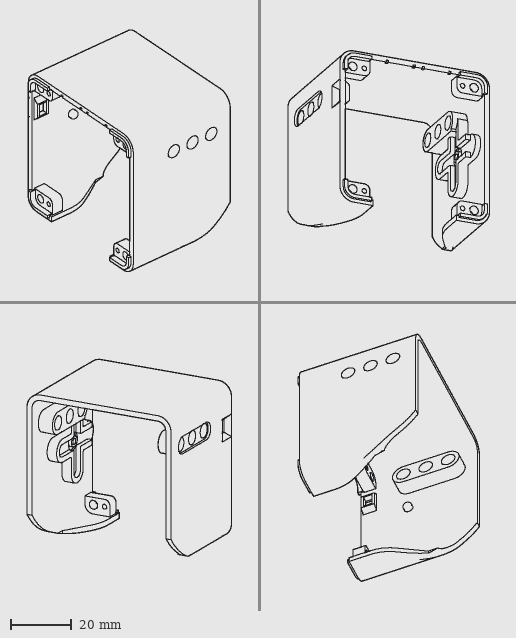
import cadquery as cq
import math


side = 54
overall_depth = 42.5
lip_height = 1.0
depth = overall_depth - lip_height
wall = 1.95
corner_radius = 5.0
flange_length = 12.0
half = side / 2
inner_half = half - wall

flange_slant = 30
flange_corner_y = 12.0
flange_blend_radius = 16.0
flange_slant_half_gap = 22.55

back_arc_radius = 29.9
back_arc_rise = 11.75

block_width = 11.3
block_height = 7.7
block_depth = 4.25
block_recess = 1.0
block_edge_radius = 2.0
hole_inset = 5.15
large_hole = 3.0
small_hole = 1.6
small_hole_inset = 9.3
lip_inset = 1.2
lip_thickness = 1.2
lip_width = 11.0
lip_drop = 7.3

row_holes = 3
row_pitch = 8.0
row_hole = 4.8
row_center_y = 25.3
row_center_z = 15.25
row_boss_width = 7.8
row_boss_height = 5.3
row_recess_width = 6.05
row_recess_depth = 0.95

window_length = 6.35
window_height = 7.9
window_inset = 1.7
window_center_y = window_length / 2
window_center_z = 12.15
window_boss_front = 0.8
window_boss_height = 1.9
window_boss_top = 5.55
window_boss_rise = 1.5

pivot_y = 17.0
pivot_z = 3.5
pin_diameter = 3.0
pin_length = 2.05
pin_round = 0.95

guide_height = 3.55
guide_width = 8.1
guide_slot = 4.4
guide_reach = 10.1
guide_corner_radius = 0.5
floor_height = 1.9
socket_diameter = 6.2
socket_depth = 0.65
socket_boss = 3.8
socket_boss_height = 0.55
socket_bore = 2.0
guide_key_bottom = 11.4

notch_width = 0.7
notch_height = 0.7
notch_depth = 1.1
notch_positions = (-9.85, -0.15, 3.2, 12.75)


def square_prism(inset, start, end):
    """Rounded square, inset from the outer skin, between two Y positions."""
    size = side - 2 * inset
    prism = cq.Workplane("XZ", origin=(0, end, 0)).rect(size, size).extrude(end - start)
    return prism.edges("|Y").fillet(corner_radius - inset)


def box(x0, x1, y0, y1, z0, z1):
    """Box between opposite corners."""
    return cq.Workplane("XY").box(x1 - x0, y1 - y0, z1 - z0, centered=False).translate((x0, y0, z0))


def side_plane(x, y, z):
    """Plane whose local x is Y, local y is Z and whose normal is +X."""
    return cq.Workplane("YZ", origin=(x, y, z))


def flange_opening():
    """Gap between the lower flanges, widening towards the back."""
    opening = half - flange_length
    wide = flange_slant_half_gap
    slant_end = flange_corner_y + (wide - opening) / math.tan(math.radians(flange_slant))
    outline = [
        (-opening, 0),
        (opening, 0),
        (opening, flange_corner_y),
        (wide, slant_end),
        (wide, depth),
        (-wide, depth),
        (-wide, slant_end),
        (-opening, flange_corner_y),
    ]
    gap = cq.Workplane("XY", origin=(0, 0, -half)).polyline(outline).close().extrude(corner_radius)
    bend = cq.selectors.BoxSelector(
        (-half, flange_corner_y - 0.55, -half), (half, flange_corner_y + 0.55, half)
    )
    return gap.edges("|Z").edges(bend).fillet(flange_blend_radius)


def make_shell():
    """Rounded square tube, open between the lower flanges, with notches in the top wall."""
    shell = square_prism(0, 0, depth).cut(square_prism(wall, 0, depth))
    shell = shell.cut(flange_opening())
    notch = (
        side_plane(-notch_width / 2, 0, inner_half)
        .polyline([(0, 0), (notch_depth, 0), (0, notch_height)])
        .close()
        .extrude(notch_width)
    )
    for x in notch_positions:
        shell = shell.cut(notch.translate((x, 0, 0)))
    return shell


def back_edge_cutter():
    """Material removed below the arc that is tangent to the underside."""
    run = math.sqrt(2 * back_arc_radius * back_arc_rise - back_arc_rise**2)
    half_angle = math.asin(run / back_arc_radius) / 2
    start = depth - run
    middle = (
        start + back_arc_radius * math.sin(half_angle),
        -half + back_arc_radius * (1 - math.cos(half_angle)),
    )
    return (
        side_plane(-half, 0, 0)
        .moveTo(start, -half)
        .threePointArc(middle, (depth, -half + back_arc_rise))
        .lineTo(depth, -half)
        .close()
        .extrude(side)
    )


def make_corner():
    """Screw block and lip of the upper left corner."""
    back = block_recess + block_depth
    block = box(-half, -half + block_width, block_recess, back, half - block_height, half)
    block = block.edges("|Y and >X and <Z").fillet(block_edge_radius)
    block = block.intersect(square_prism(lip_inset, block_recess, back))
    lip = square_prism(lip_inset, -lip_height, block_recess)
    lip = lip.cut(square_prism(lip_inset + lip_thickness, -lip_height, block_recess))
    lip = lip.intersect(
        box(-half, -half + lip_width, -lip_height, block_recess, half - lip_drop, half)
    )
    corner = block.union(lip)
    for inset, diameter in ((hole_inset, large_hole), (small_hole_inset, small_hole)):
        drill = cq.Workplane("XZ", origin=(-half + inset, back, half - hole_inset))
        corner = corner.cut(drill.circle(diameter / 2).extrude(back))
    return corner


def stadium(x, height, width, span, y, z, angle=0):
    """Round-ended bar standing on a plane of constant X; span joins its end centres."""
    return side_plane(x, y, z).slot2D(span + width, width, angle).extrude(height)


def row_boss(x):
    """Round-ended boss around the row of holes."""
    span = (row_holes - 1) * row_pitch
    return stadium(x, row_boss_height, row_boss_width, span, row_center_y, row_center_z)


def row_cutter():
    """Row of holes through both side walls, with a shallow recess outside the left wall."""
    span = (row_holes - 1) * row_pitch
    holes = (
        side_plane(-half, row_center_y, row_center_z)
        .rarray(row_pitch, 0.55, row_holes, 1)
        .circle(row_hole / 2)
        .extrude(side)
    )
    recess = stadium(-half, row_recess_depth, row_recess_width, span, row_center_y, row_center_z)
    return holes.union(recess)


def window_boss():
    """Boss with sloping top and bottom behind the funnel window."""
    low = window_boss_top / 2
    high = low + window_boss_rise
    length = 2 * (window_center_y - window_boss_front)
    return (
        cq.Workplane("XZ", origin=(-inner_half, window_boss_front + length, window_center_z))
        .polyline([(0, -high), (window_boss_height, -low), (window_boss_height, low), (0, high)])
        .close()
        .extrude(length)
    )


def window_cutter():
    """Funnel through the wall that ends in a straight throat through the boss."""
    plane = side_plane(-half, window_center_y, window_center_z)
    taper = math.degrees(math.atan(window_inset / wall))
    funnel = plane.rect(window_length, window_height).extrude(wall, taper=taper)
    throat = plane.rect(
        window_length - 2 * window_inset, window_height - 2 * window_inset
    ).extrude(wall + window_boss_height)
    return funnel.union(throat)


def pivot_pin():
    """Pin with a rounded tip."""
    pin = side_plane(-inner_half, pivot_y, pivot_z).circle(pin_diameter / 2).extrude(pin_length)
    return pin.faces(">X").edges().fillet(pin_round)


def cross(x, height, width):
    """Two crossed round-ended bars with rounded inside corners."""
    span = 2 * guide_reach
    bars = [stadium(x, height, width, span, pivot_y, pivot_z, angle) for angle in (0, 90)]
    corners = cq.selectors.BoxSelector(
        (x - height, pivot_y - width, pivot_z - width),
        (x + 2 * height, pivot_y + width, pivot_z + width),
    )
    return bars[0].union(bars[1]).edges("|X").edges(corners).fillet(guide_corner_radius)


def make_guide():
    """Cross-shaped rim on a thinner floor, with the pivot socket at its centre."""
    top = inner_half - guide_height
    floor = inner_half - floor_height
    rim_height = guide_height - floor_height
    guide = cross(top, guide_height, guide_width).cut(cross(top, rim_height, guide_slot))
    end_center = pivot_y - guide_reach
    low = pivot_z - guide_width
    high = pivot_z + guide_width
    guide = guide.cut(box(top, floor, end_center - guide_width, end_center, low, high))
    axis = side_plane(floor, pivot_y, pivot_z)
    guide = guide.cut(axis.circle(socket_diameter / 2).extrude(socket_depth))
    boss_length = socket_boss_height + socket_depth
    boss = side_plane(floor - socket_boss_height, pivot_y, pivot_z)
    guide = guide.union(boss.circle(socket_boss / 2).extrude(boss_length))
    return guide.cut(boss.circle(socket_bore / 2).extrude(socket_boss_height + floor_height))


def guide_key():
    """Square-sided key hanging from the right hole boss, as wide as the guide slot."""
    front = pivot_y - guide_slot / 2
    back = pivot_y + guide_slot / 2
    return box(inner_half - row_boss_height, inner_half, front, back, guide_key_bottom, row_center_z)


corner = make_corner()
body = make_shell()
for corner_pair in (corner, corner.mirror("YZ")):
    body = body.union(corner_pair).union(corner_pair.mirror("XY"))
body = body.union(row_boss(-inner_half)).union(window_boss()).union(pivot_pin())
body = body.union(make_guide()).union(row_boss(inner_half - row_boss_height)).union(guide_key())
result = body.cut(back_edge_cutter()).cut(row_cutter()).cut(window_cutter())